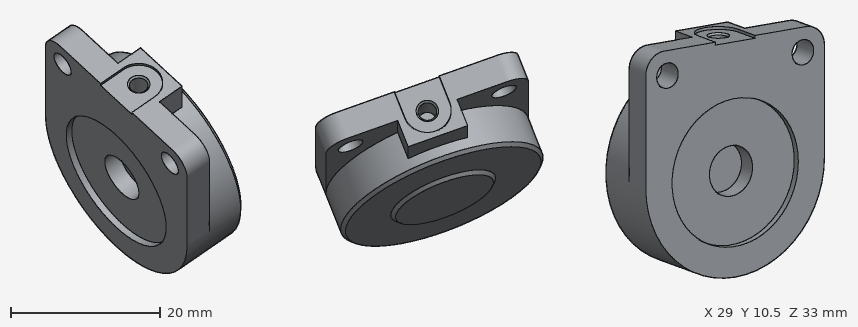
import cadquery as cq


housing_dia = 29.0
housing_radius = housing_dia / 2
total_height = 33.0
top_z = total_height - housing_radius
housing_depth = 10.0
plate_thickness = 4.0
corner_radius = 3.0
rim_chamfer = 0.5

cap_dia = 15.0
cap_height = 0.5

mount_hole_dia = 3.5
mount_hole_x = 11.0
mount_hole_z = 15.0

block_width = 8.5
block_back_y = 2 * plate_thickness
port_y = plate_thickness
pocket_width = 6.4
pocket_depth = 0.4
port_dia = 2.48
port_chamfer = 0.25
port_depth = 4.0

insert_dia = 20.5
insert_hole_dia = 7.0
insert_recess = 1.0
bore_depth = 3.63


def y_cylinder(diameter, start_y, length, x=0, z=0):
    """Cylinder along +Y starting at start_y."""
    plane = cq.Plane(origin=(x, start_y, z), xDir=(1, 0, 0), normal=(0, 1, 0))
    return cq.Workplane(plane).circle(diameter / 2).extrude(length)


def make_body():
    """Round drum with a chamfered back rim and a tapered cap."""
    drum = y_cylinder(housing_dia, 0, housing_depth).faces(">Y").chamfer(rim_chamfer)
    cap_plane = cq.Plane(origin=(0, housing_depth, 0), xDir=(1, 0, 0), normal=(0, 1, 0))
    cap = cq.Workplane(cap_plane).circle(cap_dia / 2).extrude(cap_height, taper=45)
    return drum.union(cap)


def make_plate():
    """Square-topped upper part of the mounting plate with rounded corners."""
    plate = cq.Workplane("XY").box(housing_dia, plate_thickness, top_z, centered=(True, False, False))
    return plate.edges("|Y and >Z").fillet(corner_radius)


def make_port_block():
    """Block that carries the port, rising from the drum behind the plate."""
    return cq.Workplane("XY").box(block_width, block_back_y, top_z, centered=(True, False, False))


def make_port_cutter():
    """Round-ended pocket open at the mounting face, with a chamfered blind port in its floor."""
    floor_z = top_z - pocket_depth
    half_width = pocket_width / 2
    pocket = (
        cq.Workplane("XY", origin=(0, 0, floor_z))
        .moveTo(-half_width, 0)
        .lineTo(half_width, 0)
        .lineTo(half_width, port_y)
        .threePointArc((0, port_y + half_width), (-half_width, port_y))
        .close()
        .extrude(pocket_depth)
    )
    floor_plane = cq.Workplane("XY", origin=(0, port_y, floor_z))
    port = floor_plane.circle(port_dia / 2).extrude(-port_depth)
    mouth = floor_plane.circle(port_dia / 2 + port_chamfer).extrude(-port_chamfer, taper=45)
    return pocket.union(port).union(mouth)


def make_housing():
    housing = make_body().union(make_plate()).union(make_port_block())
    housing = housing.cut(make_port_cutter())
    for side in (-1, 1):
        housing = housing.cut(
            y_cylinder(mount_hole_dia, 0, plate_thickness, side * mount_hole_x, mount_hole_z)
        )
    return housing.cut(y_cylinder(insert_dia, 0, bore_depth))


def make_insert():
    """Flat ring that fills the bore behind the recess."""
    thickness = bore_depth - insert_recess
    ring = y_cylinder(insert_dia, insert_recess, thickness)
    return ring.cut(y_cylinder(insert_hole_dia, insert_recess, thickness))


housing = make_housing()
insert = make_insert()

result = cq.Compound.makeCompound([housing.val(), insert.val()])